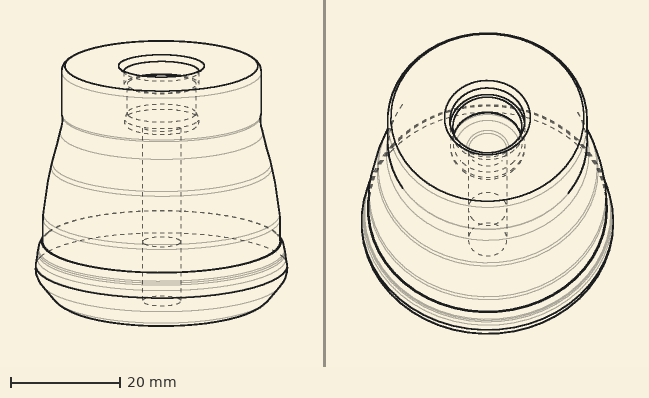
import cadquery as cq
import math


HEIGHT = 44.45
FOOT_HEIGHT = 11.2
HOLE_RADIUS = 3.5

BASE_FLAT_RADIUS = 17.9
BASE_ROUND_MIDDLE = (19.05, 0.42)
BASE_ROUND_END = (20.0, 1.2)
LOWER_CONE_END = (22.2, 3.95)
RIM_ROUND_MIDDLE = (22.92, 5.3)
RIM_ROUND_END = (23.02, 6.7)
RIM_STEP_END = (22.95, 6.85)
BAND_BOTTOM = (22.78, 8.1)
BAND_TOP = (22.66, 9.1)
GROOVE_TOP = (22.55, 9.45)
SHOULDER_START = (22.5, 9.8)
SHOULDER_MIDDLE = (22.3, 10.6)
FOOT_TOP_RADIUS = 21.9

SKIRT_RADIUS = 21.72
SKIRT_TOP = 15.6
GRIP_BOTTOM = (21.62, 16.5)
GRIP_MIDDLE = (21.05, 20.9)
GRIP_TOP = (20.2, 25.26)
CONE_BOTTOM = (20.0, 26.1)
CONE_TOP = (18.55, 31.8)
NECK_MIDDLE = (18.16, 33.6)
NECK_TOP = (18.14, 35.05)
COLLAR_RADIUS = 18.25
COLLAR_BOTTOM = 35.4
TOP_FLAT_RADIUS = 17.65
TOP_ROUND_MIDDLE = (18.05, 44.1)
TOP_ROUND_START = 43.3

ENTRY_RADIUS = 6.85
ENTRY_CHAMFER = 1.0
ENTRY_DEPTH = 3.4
BORE_RADIUS = 6.3
BORE_DEPTH = 8.9
UNDERCUT_RADIUS = 6.8
UNDERCUT_CONE_HEIGHT = 1.1
UNDERCUT_WALL_HEIGHT = 0.5
FLOOR_FILLET = 0.8
HOLE_EDGE_FILLET = 0.4


def revolve_outline(outline):
    return outline.close().revolve(360, (0, 0, 0), (0, 1, 0))


def make_foot():
    return revolve_outline(
        cq.Workplane("XZ")
        .moveTo(HOLE_RADIUS, 0)
        .lineTo(BASE_FLAT_RADIUS, 0)
        .threePointArc(BASE_ROUND_MIDDLE, BASE_ROUND_END)
        .lineTo(*LOWER_CONE_END)
        .threePointArc(RIM_ROUND_MIDDLE, RIM_ROUND_END)
        .lineTo(*RIM_STEP_END)
        .lineTo(*BAND_BOTTOM)
        .lineTo(*BAND_TOP)
        .lineTo(*GROOVE_TOP)
        .lineTo(*SHOULDER_START)
        .threePointArc(SHOULDER_MIDDLE, (FOOT_TOP_RADIUS, FOOT_HEIGHT))
        .lineTo(HOLE_RADIUS, FOOT_HEIGHT)
    )


def make_knob_blank():
    """Solid knob with its outer shape only."""
    return revolve_outline(
        cq.Workplane("XZ")
        .moveTo(0, FOOT_HEIGHT)
        .lineTo(SKIRT_RADIUS, FOOT_HEIGHT)
        .lineTo(SKIRT_RADIUS, SKIRT_TOP)
        .lineTo(*GRIP_BOTTOM)
        .threePointArc(GRIP_MIDDLE, GRIP_TOP)
        .lineTo(*CONE_BOTTOM)
        .lineTo(*CONE_TOP)
        .threePointArc(NECK_MIDDLE, NECK_TOP)
        .lineTo(COLLAR_RADIUS, COLLAR_BOTTOM)
        .lineTo(COLLAR_RADIUS, TOP_ROUND_START)
        .threePointArc(TOP_ROUND_MIDDLE, (TOP_FLAT_RADIUS, HEIGHT))
        .lineTo(0, HEIGHT)
    )


def make_knob_bore():
    """Stepped bore with an undercut above its floor, and the hole through the floor."""
    ledge = HEIGHT - ENTRY_DEPTH
    undercut_edge = HEIGHT - BORE_DEPTH
    undercut_wall_top = undercut_edge - UNDERCUT_CONE_HEIGHT
    fillet_top = undercut_wall_top - UNDERCUT_WALL_HEIGHT
    floor = fillet_top - FLOOR_FILLET
    diagonal = math.sqrt(0.5)
    fillet_middle = (
        UNDERCUT_RADIUS - FLOOR_FILLET * (1 - diagonal),
        floor + FLOOR_FILLET * (1 - diagonal),
    )
    hole_edge_middle = (
        HOLE_RADIUS + HOLE_EDGE_FILLET * (1 - diagonal),
        floor - HOLE_EDGE_FILLET * (1 - diagonal),
    )
    return revolve_outline(
        cq.Workplane("XZ")
        .moveTo(0, HEIGHT)
        .lineTo(ENTRY_RADIUS + ENTRY_CHAMFER, HEIGHT)
        .lineTo(ENTRY_RADIUS, HEIGHT - ENTRY_CHAMFER)
        .lineTo(ENTRY_RADIUS, ledge)
        .lineTo(BORE_RADIUS, ledge)
        .lineTo(BORE_RADIUS, undercut_edge)
        .lineTo(UNDERCUT_RADIUS, undercut_wall_top)
        .lineTo(UNDERCUT_RADIUS, fillet_top)
        .threePointArc(fillet_middle, (UNDERCUT_RADIUS - FLOOR_FILLET, floor))
        .lineTo(HOLE_RADIUS + HOLE_EDGE_FILLET, floor)
        .threePointArc(hole_edge_middle, (HOLE_RADIUS, floor - HOLE_EDGE_FILLET))
        .lineTo(HOLE_RADIUS, FOOT_HEIGHT)
        .lineTo(0, FOOT_HEIGHT)
    )


foot = make_foot()
knob = make_knob_blank().cut(make_knob_bore())
result = cq.Compound.makeCompound([foot.val(), knob.val()])